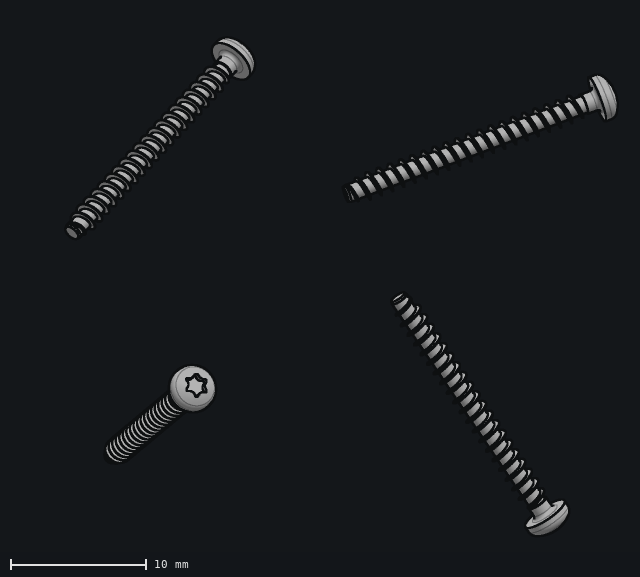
import cadquery as cq
import math

total_length = 21.37

head_radius = 1.75
rim_height = 0.45
shoulder_radius = 0.65
crown_radius = 2.56

recess_outer_radius = 0.88
recess_inner_radius = 0.65
lobe_radius = 0.13
recess_depth = 0.65
lobe_count = 6

neck_radius = 0.77
neck_length = 1.0
neck_fillet = 0.32
core_radius = 0.66
tip_radius = 0.6
tip_chamfer_length = 0.2

crest_radius = 1.0
root_radius = 0.58
crest_width = 0.06
flank_angle = 15.0
full_thread_top = -1.75
full_thread_length = 16.71
full_turns = 18.75
neck_run_out_turns = 1.0
neck_run_out_radius = 0.73
tip_run_out_turns = 1.5
tip_run_out_radius = 0.66

pitch = full_thread_length / full_turns
full_thread_bottom = full_thread_top - full_thread_length
crest_half = crest_width / 2
root_half = crest_half + (crest_radius - root_radius) * math.tan(math.radians(flank_angle))

shoulder_center_r = head_radius - shoulder_radius
center_distance = crown_radius - shoulder_radius
crown_center_z = rim_height - math.sqrt(center_distance**2 - shoulder_center_r**2)
apex_z = crown_center_z + crown_radius

head_height = crown_center_z + math.sqrt(crown_radius**2 - recess_inner_radius**2)
tip_z = head_height - total_length


def polar(radius, degrees):
    angle = math.radians(degrees)
    return (radius * math.cos(angle), radius * math.sin(angle))


def offset_polar(center, radius, degrees):
    x, y = polar(radius, degrees)
    return (center[0] + x, center[1] + y)


def make_body():
    """Head and unthreaded shank, revolved about Z."""
    tangent_angle = math.degrees(math.acos(shoulder_center_r / center_distance))
    shoulder_center = (shoulder_center_r, rim_height)
    crown_center = (0, crown_center_z)
    shoulder_mid = offset_polar(shoulder_center, shoulder_radius, tangent_angle / 2)
    shoulder_end = offset_polar(shoulder_center, shoulder_radius, tangent_angle)
    crown_mid = offset_polar(crown_center, crown_radius, (tangent_angle + 90) / 2)
    fillet_center = (neck_radius + neck_fillet, -neck_fillet)
    fillet_mid = offset_polar(fillet_center, neck_fillet, 135)
    return (
        cq.Workplane("XZ")
        .moveTo(0, tip_z)
        .lineTo(tip_radius, tip_z)
        .lineTo(core_radius, tip_z + tip_chamfer_length)
        .lineTo(core_radius, -neck_length)
        .lineTo(neck_radius, -neck_length)
        .lineTo(neck_radius, -neck_fillet)
        .threePointArc(fillet_mid, (neck_radius + neck_fillet, 0))
        .lineTo(head_radius, 0)
        .lineTo(head_radius, rim_height)
        .threePointArc(shoulder_mid, shoulder_end)
        .threePointArc(crown_mid, (0, apex_z))
        .close()
        .revolve(360, (0, 0, 0), (0, 1, 0))
    )


def make_recess():
    """Six-lobe socket: convex lobe arcs joined by tangent concave arcs."""
    lobe_angle = 360 / lobe_count
    half_angle = lobe_angle / 2
    lobe_center_r = recess_outer_radius - lobe_radius
    lean = 2 * lobe_center_r * math.cos(math.radians(half_angle))
    valley_radius = (
        lobe_center_r**2 + recess_inner_radius**2 - lean * recess_inner_radius - lobe_radius**2
    ) / (lean + 2 * lobe_radius - 2 * recess_inner_radius)
    valley_center = polar(recess_inner_radius + valley_radius, half_angle)
    rise = math.degrees(math.atan2(valley_center[1], valley_center[0] - lobe_center_r))
    tangent = offset_polar((lobe_center_r, 0), lobe_radius, rise)
    tangent_r = math.hypot(*tangent)
    tangent_angle = math.degrees(math.atan2(tangent[1], tangent[0]))

    outline = cq.Workplane("XY", origin=(0, 0, head_height - recess_depth))
    outline = outline.moveTo(*polar(tangent_r, 90 - tangent_angle))
    for i in range(lobe_count):
        direction = 90 + i * lobe_angle
        outline = outline.threePointArc(
            polar(recess_outer_radius, direction),
            polar(tangent_r, direction + tangent_angle),
        ).threePointArc(
            polar(recess_inner_radius, direction + half_angle),
            polar(tangent_r, direction + lobe_angle - tangent_angle),
        )
    return outline.close().extrude(2 * recess_depth)


def make_helix(start_radius, end_radius, start_z, turns):
    """Rising helix whose radius grows evenly from start to end."""
    height = turns * pitch
    center = cq.Vector(0, 0, start_z)
    if start_radius == end_radius:
        return cq.Wire.makeHelix(pitch, height, start_radius, center)
    slope = math.atan2(end_radius - start_radius, height)
    stretch = 1 / math.cos(slope)
    return cq.Wire.makeHelix(
        pitch * stretch, height * stretch, start_radius, center, angle=math.degrees(slope)
    )


def thread_faces(start_crest_radius, turns):
    """Root, flank and crest faces of a thread stretch that ends at full height."""
    corners = (
        make_helix(root_radius, root_radius, -root_half, turns),
        make_helix(start_crest_radius, crest_radius, -crest_half, turns),
        make_helix(start_crest_radius, crest_radius, crest_half, turns),
        make_helix(root_radius, root_radius, root_half, turns),
    )
    return [cq.Face.makeRuledSurface(corners[i - 1], corners[i]) for i in range(len(corners))]


def end_face(end_crest_radius):
    """Thread cross-section in the XZ plane, closing a run-out."""
    points = (
        (root_radius, -root_half),
        (end_crest_radius, -crest_half),
        (end_crest_radius, crest_half),
        (root_radius, root_half),
    )
    outline = cq.Wire.makePolygon([cq.Vector(r, 0, z) for r, z in points], close=True)
    return cq.Face.makeFromWires(outline)


def run_out_faces(start_crest_radius, turns):
    """Thread growing from its closed end to full height at angle 0, z = 0."""
    faces = thread_faces(start_crest_radius, turns) + [end_face(start_crest_radius)]
    origin = cq.Vector(0, 0, 0)
    axis = cq.Vector(0, 0, 1)
    drop = cq.Vector(0, 0, -turns * pitch)
    return [face.rotate(origin, axis, -360 * turns).translate(drop) for face in faces]


def make_thread():
    """Right-hand thread, full height at angle 0 and z = full_thread_bottom."""
    origin = cq.Vector(0, 0, 0)
    faces = thread_faces(crest_radius, full_turns)
    faces += run_out_faces(tip_run_out_radius, tip_run_out_turns)
    for face in run_out_faces(neck_run_out_radius, neck_run_out_turns):
        flipped = face.rotate(origin, cq.Vector(1, 0, 0), 180)
        turned = flipped.rotate(origin, cq.Vector(0, 0, 1), 360 * full_turns)
        faces.append(turned.translate(cq.Vector(0, 0, full_thread_length)))
    thread = cq.Solid.makeSolid(cq.Shell.makeShell(faces))
    return cq.Workplane(thread.translate(cq.Vector(0, 0, full_thread_bottom)))


screw = make_body().cut(make_recess()).union(make_thread())
result = screw.rotate((0, 0, 0), (1, 0, 0), -90)